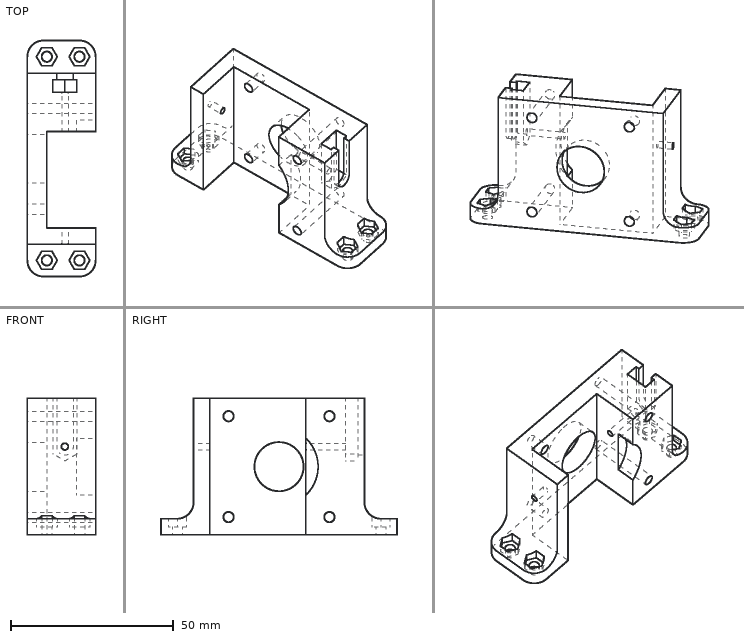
import cadquery as cq
import math

width = 21.0
length = 72.5
height = 42.0

foot_height = 5.0
foot_radius = 5.0
body_half_length = length / 2 - 2 * foot_radius
foot_hole_y = length / 2 - foot_radius
foot_hole_spacing = 10.0
foot_hole_center_x = 11.0
screw_diameter = 3.1
foot_nut_flats = 5.5
foot_nut_floor = 2.5

plate_thickness = 6.0
end_wall_thickness = 5.0
block_inner_y = 8.3

axis_z = 20.95
center_bore_diameter = 15.0
plate_hole_pitch = 30.95
recess_diameter = 24.0
recess_depth = 6.0

adjuster_x = 11.5
adjuster_z = 27.1
pilot_diameter = 2.0
shank_slot_width = 5.1
shank_slot_length = 2.0
adjuster_nut_flats = 7.5
adjuster_nut_thickness = 3.9
hexagon_half_angle = 30.0


def across_corners(flats):
    """Corner-to-corner size of a regular hexagon."""
    return flats / math.cos(math.radians(hexagon_half_angle))


def bracket_body():
    """Outline with filleted feet, extruded along X and rounded at the foot corners."""
    half = length / 2
    fillet_top = foot_height + foot_radius
    outline = (
        cq.Workplane("YZ")
        .moveTo(-half, 0)
        .lineTo(half, 0)
        .lineTo(half, foot_height)
        .lineTo(foot_hole_y, foot_height)
        .radiusArc((body_half_length, fillet_top), foot_radius)
        .lineTo(body_half_length, height)
        .lineTo(-body_half_length, height)
        .lineTo(-body_half_length, fillet_top)
        .radiusArc((-foot_hole_y, foot_height), foot_radius)
        .lineTo(-half, foot_height)
        .close()
    )
    body = outline.extrude(width)
    footprint = (
        cq.Workplane("XY", origin=(width / 2, 0, 0))
        .rect(width, length)
        .extrude(height)
        .edges("|Z")
        .fillet(foot_radius)
    )
    return body.intersect(footprint)


def opening():
    """Space between the end wall and the block, open at top, bottom and +X."""
    start_y = -body_half_length + end_wall_thickness
    return cq.Workplane("XY").box(
        width - plate_thickness, block_inner_y - start_y, height, centered=False
    ).translate((plate_thickness, start_y, 0))


def plate_holes():
    """Central bore and four screw holes along X, with a round recess on the +X side."""
    plane = cq.Workplane("YZ", origin=(0, 0, axis_z))
    bore = plane.circle(center_bore_diameter / 2).extrude(width)
    screws = (
        plane.rect(plate_hole_pitch, plate_hole_pitch, forConstruction=True)
        .vertices()
        .circle(screw_diameter / 2)
        .extrude(width)
    )
    recess = (
        plane.workplane(offset=width - recess_depth)
        .circle(recess_diameter / 2)
        .extrude(recess_depth)
    )
    return bore.union(screws).union(recess)


def foot_holes():
    """Vertical screw holes in both feet with hexagonal nut pockets above."""
    centers = [
        (foot_hole_center_x + side * foot_hole_spacing / 2, end * foot_hole_y)
        for side in (-1, 1)
        for end in (-1, 1)
    ]
    holes = cq.Workplane("XY").pushPoints(centers).circle(screw_diameter / 2).extrude(foot_height)
    pockets = (
        cq.Workplane("XY", origin=(0, 0, foot_nut_floor))
        .pushPoints(centers)
        .polygon(6, across_corners(foot_nut_flats))
        .extrude(foot_height)
    )
    return holes.union(pockets)


def adjuster_cut():
    """Pilot bore along Y, plus shank and nut slots open at the top of the block."""
    start = cq.Workplane("XZ", origin=(adjuster_x, body_half_length, adjuster_z))
    pilot = start.circle(pilot_diameter / 2).extrude(2 * body_half_length)
    slot_rise = height - adjuster_z

    shank = start.circle(shank_slot_width / 2).extrude(shank_slot_length)
    shank_slot = (
        start.center(0, slot_rise / 2).rect(shank_slot_width, slot_rise).extrude(shank_slot_length)
    )
    nut_start = cq.Workplane(
        "XZ", origin=(adjuster_x, body_half_length - shank_slot_length, adjuster_z)
    )
    nut = (
        nut_start.transformed(rotate=(0, 0, hexagon_half_angle))
        .polygon(6, across_corners(adjuster_nut_flats))
        .extrude(adjuster_nut_thickness)
    )
    nut_slot = (
        nut_start.center(0, slot_rise / 2)
        .rect(adjuster_nut_flats, slot_rise)
        .extrude(adjuster_nut_thickness)
    )
    return pilot.union(shank).union(shank_slot).union(nut).union(nut_slot)


result = (
    bracket_body()
    .cut(opening())
    .cut(plate_holes())
    .cut(foot_holes())
    .cut(adjuster_cut())
)